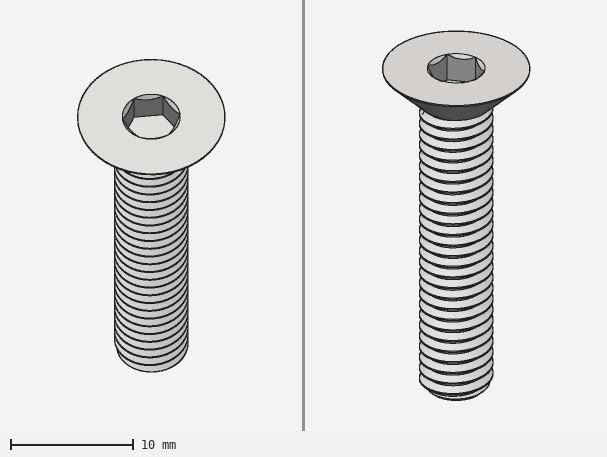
import cadquery as cq
import math

total_length = 30.0
head_radius = 6.0
rim_height = 0.12
neck_radius = 2.88
head_height = rim_height + (head_radius - neck_radius)
head_base = total_length - head_height

turns_per_ten_units = 10
pitch = 10 / turns_per_ten_units
crest_radius = 3.0
root_radius = 2.37
crest_flat = pitch / 8
flank_angle = math.radians(30)
first_crest = 0.85
ridge_overlap = 0.05
tip_radius = 2.25

socket_corner_diameter = 4.7
socket_depth = 2.4


def make_head():
    """Countersunk head with a thin cylindrical rim."""
    profile = [
        (0, head_base),
        (neck_radius, head_base),
        (head_radius, total_length - rim_height),
        (head_radius, total_length),
        (0, total_length),
    ]
    return cq.Workplane("XZ").polyline(profile).close().revolve(360, (0, 0), (0, 1))


def make_thread_ridge():
    """Helical ridge with a trapezoidal section, from below the tip to inside the head."""
    start = first_crest - 2 * pitch
    turns = math.ceil((head_base - start) / pitch) + 1
    base_radius = root_radius - ridge_overlap
    half_crest = crest_flat / 2
    half_base = half_crest + (crest_radius - base_radius) * math.tan(flank_angle)
    corners = [
        (base_radius, -half_base),
        (crest_radius, -half_crest),
        (crest_radius, half_crest),
        (base_radius, half_base),
    ]
    helices = [
        cq.Wire.makeHelix(pitch, turns * pitch, radius).translate(cq.Vector(0, 0, start + height))
        for radius, height in corners
    ]
    sides = [
        cq.Face.makeRuledSurface(helix, helices[(index + 1) % len(helices)])
        for index, helix in enumerate(helices)
    ]
    ends = [
        cq.Face.makeFromWires(
            cq.Wire.makePolygon(
                [cq.Vector(radius, 0, end + height) for radius, height in corners], close=True
            )
        )
        for end in (start, start + turns * pitch)
    ]
    return cq.Workplane("XY").add(cq.Solid.makeSolid(cq.Shell.makeShell(sides + ends)))


def make_shank_envelope():
    """Full-diameter shank with the tip chamfer; it bounds the thread."""
    outer_radius = crest_radius + ridge_overlap
    profile = [
        (0, 0),
        (tip_radius, 0),
        (outer_radius, outer_radius - tip_radius),
        (outer_radius, head_base),
        (0, head_base),
    ]
    return cq.Workplane("XZ").polyline(profile).close().revolve(360, (0, 0), (0, 1))


def make_shank():
    """Core cylinder with the thread ridge, both chamfered at the tip."""
    core = (
        cq.Workplane("XY")
        .circle(root_radius)
        .extrude(head_base)
        .faces("<Z")
        .chamfer(root_radius - tip_radius)
    )
    thread = make_thread_ridge().intersect(make_shank_envelope())
    return core.union(thread)


def make_socket():
    """Hexagon recess with a 45 degree conical lead-in at the mouth."""
    corner_radius = socket_corner_diameter / 2
    top = cq.Workplane("XY").workplane(offset=total_length)
    hexagon = (
        top.transformed(rotate=(0, 0, 90))
        .polygon(6, socket_corner_diameter)
        .extrude(-socket_depth)
    )
    flat_radius = corner_radius * math.cos(math.pi / 6)
    lead_in_depth = corner_radius - flat_radius
    lead_in = cq.Solid.makeCone(
        flat_radius,
        corner_radius,
        lead_in_depth,
        pnt=cq.Vector(0, 0, total_length - lead_in_depth),
    )
    return hexagon.union(cq.Workplane(lead_in))


result = make_shank().union(make_head()).cut(make_socket())